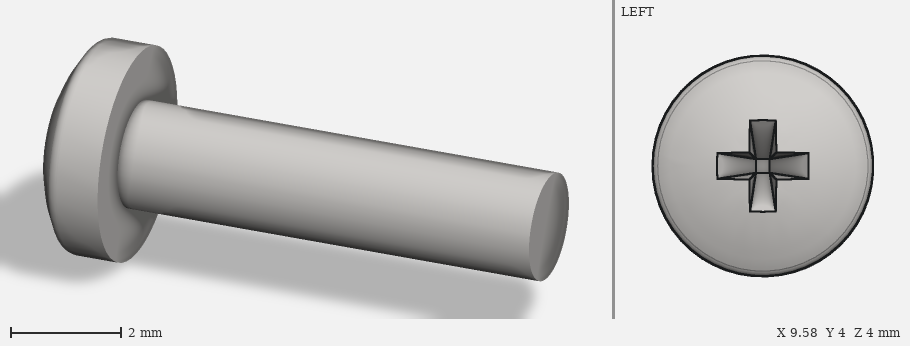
import cadquery as cq
import math

total_length = 9.58
shank_length = 8.0
shank_radius = 1.001
head_radius = 2.0
dome_radius = 3.27
rim_radius = 0.23

mouth_width = 0.49
mouth_span = 1.79
floor_width = 0.25
recess_depth = 1.05

corner_radius = mouth_width / math.sqrt(2)
dome_center_x = math.sqrt(dome_radius**2 - corner_radius**2)
apex_x = dome_center_x - dome_radius
head_back_x = total_length - shank_length

rim_center_radius = head_radius - rim_radius
center_distance = dome_radius - rim_radius
rim_angle = math.asin(rim_center_radius / center_distance)
shoulder_x = dome_center_x - center_distance * math.cos(rim_angle)


def arc_point(center_x, center_radius, radius, angle):
    """Profile point on an arc, with the angle measured from the -X direction."""
    return (center_x - radius * math.cos(angle), center_radius + radius * math.sin(angle))


def make_body():
    """Revolve the half profile of the head and shank about X."""
    dome_middle = arc_point(dome_center_x, 0, dome_radius, rim_angle / 2)
    dome_edge = arc_point(dome_center_x, 0, dome_radius, rim_angle)
    rim_middle_angle = (rim_angle + math.pi / 2) / 2
    rim_middle = arc_point(shoulder_x, rim_center_radius, rim_radius, rim_middle_angle)
    return (
        cq.Workplane("XY")
        .moveTo(apex_x, 0)
        .threePointArc(dome_middle, dome_edge)
        .threePointArc(rim_middle, (shoulder_x, head_radius))
        .lineTo(head_back_x, head_radius)
        .lineTo(head_back_x, shank_radius)
        .lineTo(total_length, shank_radius)
        .lineTo(total_length, 0)
        .close()
        .revolve(360, (0, 0, 0), (1, 0, 0))
    )


def make_recess_bar(span_y, span_z):
    """Tapered bar of the cross, extended straight forward to clear the apex."""
    mouth = cq.Workplane("YZ").rect(span_y, span_z)
    taper = mouth.workplane(offset=recess_depth).rect(floor_width, floor_width).loft(ruled=True)
    clearance = cq.Workplane("YZ").rect(span_y, span_z).extrude(2 * apex_x)
    return taper.union(clearance)


result = (
    make_body()
    .cut(make_recess_bar(mouth_span, mouth_width))
    .cut(make_recess_bar(mouth_width, mouth_span))
)